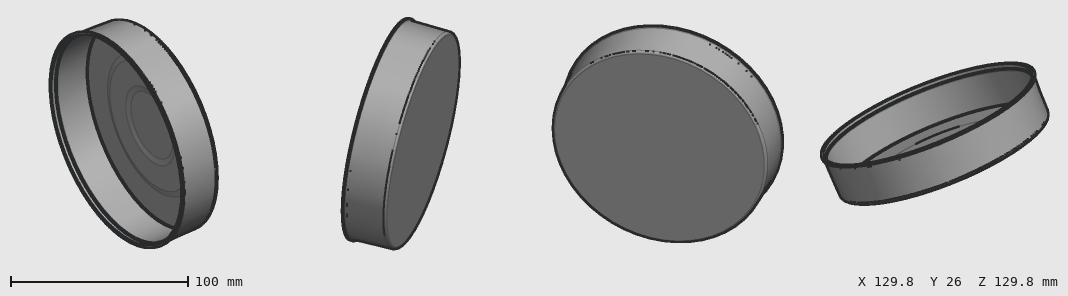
import cadquery as cq
import math

outer_radius = 64.9
depth = 26.0
front_y = -depth / 2
back_y = depth / 2

flange_thickness = 1.0
flange_back_y = front_y + flange_thickness
flange_blend = 0.4

wall_front_radius = 64.0
wall_back_radius = 63.5
back_round = 1.5

mouth_radius = 63.2
mouth_chamfer = 0.1
bead_front_y = front_y + 2.6
bead_round = 0.6
bead_crest_y = bead_front_y + bead_round
bead_crest_radius = mouth_radius - bead_round
bead_back_y = bead_crest_y + 0.9

bore_radius = 62.9
floor_thickness = 1.3
floor_y = back_y - floor_thickness
corner_chamfer = 0.5

ring_outer_radius = 43.1
ring_inner_radius = 20.4
ring_height = 1.0
flank_width = 3.6
ring_top_y = floor_y - ring_height


def arc_middle(center_radius, center_y, round_radius, radial_sign, y_sign):
    """Middle point of a quarter arc, on the diagonal given by the two signs."""
    offset = round_radius * math.sqrt(0.5)
    return (center_radius + radial_sign * offset, center_y + y_sign * offset)


def revolve_about_y(outline):
    """Revolve a closed (radius, y) outline about the Y axis."""
    return outline.close().revolve(360, (0, 0, 0), (0, 1, 0))


def make_cover():
    back_round_center = (wall_back_radius - back_round, back_y - back_round)
    blend_center = (wall_front_radius + flange_blend, flange_back_y + flange_blend)
    bead_center = (mouth_radius, bead_crest_y)
    outline = (
        cq.Workplane("XY")
        .moveTo(0, back_y)
        .lineTo(wall_back_radius - back_round, back_y)
        .threePointArc(
            arc_middle(*back_round_center, back_round, 1, 1),
            (wall_back_radius, back_y - back_round),
        )
        .lineTo(wall_front_radius, flange_back_y + flange_blend)
        .threePointArc(
            arc_middle(*blend_center, flange_blend, -1, -1),
            (wall_front_radius + flange_blend, flange_back_y),
        )
        .lineTo(outer_radius, flange_back_y)
        .lineTo(outer_radius, front_y)
        .lineTo(mouth_radius + mouth_chamfer, front_y)
        .lineTo(mouth_radius, front_y + mouth_chamfer)
        .lineTo(mouth_radius, bead_front_y)
        .threePointArc(
            arc_middle(*bead_center, bead_round, -1, -1),
            (bead_crest_radius, bead_crest_y),
        )
        .lineTo(bore_radius, bead_back_y)
        .lineTo(bore_radius, floor_y - corner_chamfer)
        .lineTo(bore_radius - corner_chamfer, floor_y)
        .lineTo(0, floor_y)
    )
    return revolve_about_y(outline)


def make_floor_ring():
    outline = cq.Workplane("XY").polyline([
        (ring_inner_radius, floor_y),
        (ring_inner_radius + flank_width, ring_top_y),
        (ring_outer_radius - flank_width, ring_top_y),
        (ring_outer_radius, floor_y),
        (ring_outer_radius, back_y),
        (ring_inner_radius, back_y),
    ])
    return revolve_about_y(outline)


result = make_cover().union(make_floor_ring())